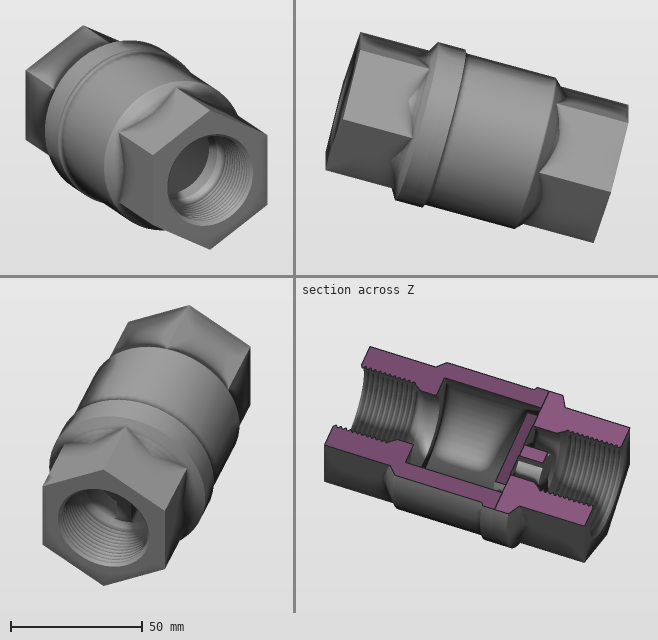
import cadquery as cq
import math

total_length = 106.2
joint_x = 35.0

hex_across_flats = 49.1
hex_corner_diameter = hex_across_flats / math.cos(math.radians(30))
inlet_neck_radius = hex_across_flats / 2
outlet_neck_radius = 24.1
neck_fillet = 5.0

collar_diameter = 62.5
collar_radius = collar_diameter / 2
collar_start_x = 29.2
collar_end_x = 39.9
cap_cone_angle = math.radians(60)

barrel_radius = 30.0
barrel_end_x = 76.0
barrel_fillet = 1.0
body_cone_angle = math.radians(45)

thread_major_radius = 18.4
thread_depth = 0.99
thread_pitch = 2 * thread_depth
thread_turns = 12
thread_minor_radius = thread_major_radius - thread_depth
thread_length = thread_pitch * thread_turns - thread_depth

seat_radius = 15.9
seat_cone_angle = math.radians(30)
seat_x = thread_length + (thread_minor_radius - seat_radius) / math.tan(seat_cone_angle)
bridge_width = 5.6
hub_radius = 7.5
window_fillet = 1.5

stem_radius = 3.0
disc_radius = 20.2
disc_thickness = 4.2

chamber_radius = 23.4
chamber_end_x = 74.3


def revolve_profile(profile):
    """Revolve a closed XY sketch, with Y as the radius, around the X axis."""
    return profile.close().revolve(360, (0, 0, 0), (1, 0, 0))


def cylinder(radius, start_x, end_x):
    """Solid cylinder on the valve axis."""
    return cq.Workplane("YZ", origin=(start_x, 0, 0)).circle(radius).extrude(end_x - start_x)


def hex_prism(start_x, end_x):
    """Hexagonal bar on the valve axis with two corners on the Z axis."""
    bar = cq.Workplane("YZ", origin=(start_x, 0, 0)).transformed(rotate=(0, 0, 90))
    return bar.polygon(6, hex_corner_diameter).extrude(end_x - start_x)


def neck_arc(neck_radius, cone_x, cone_radius, cone_angle, toward_x):
    """Start, middle and end of the concave fillet from the neck to a cone.

    The cone passes through (cone_x, cone_radius) and narrows in the toward_x direction.
    """
    center_radius = neck_radius + neck_fillet
    tangent_radius = center_radius - neck_fillet * math.cos(cone_angle)
    tangent_x = cone_x + toward_x * (cone_radius - tangent_radius) / math.tan(cone_angle)
    center_x = tangent_x + toward_x * neck_fillet * math.sin(cone_angle)

    def arc_point(angle):
        return (
            center_x - toward_x * neck_fillet * math.sin(angle),
            center_radius - neck_fillet * math.cos(angle),
        )

    return arc_point(0), arc_point(cone_angle / 2), arc_point(cone_angle)


def threaded_port():
    """Cutter for the inlet port, opening at X = 0: thread rings, then the seat cone."""
    profile = cq.Workplane("XY").moveTo(0, 0).lineTo(0, thread_major_radius)
    for turn in range(thread_turns):
        crest_x = turn * thread_pitch + thread_depth
        if turn > 0:
            profile = profile.lineTo(crest_x - thread_depth, thread_major_radius)
        profile = profile.lineTo(crest_x, thread_minor_radius)
    profile = profile.lineTo(seat_x, seat_radius).lineTo(seat_x, 0)
    return revolve_profile(profile)


def flow_window(side):
    """Cutter for one flow window, on the +Y (side = 1) or -Y (side = -1) half of the seat."""
    depth = joint_x - seat_x
    opening = cylinder(seat_radius, seat_x, joint_x)
    half = cq.Workplane("XY").box(depth, seat_radius, 2 * seat_radius, centered=(False, False, True))
    half = half.translate((seat_x, bridge_width / 2, 0))
    window = opening.intersect(half).edges("|X").fillet(window_fillet)
    window = window.cut(cylinder(hub_radius, seat_x, joint_x))
    return window if side > 0 else window.mirror("XZ")


def make_cap():
    """Inlet cap: hexagon, neck, front part of the collar, port and guide bridge."""
    neck_start, neck_middle, neck_end = neck_arc(
        inlet_neck_radius, collar_start_x, collar_radius, cap_cone_angle, -1
    )
    profile = (
        cq.Workplane("XY")
        .lineTo(0, inlet_neck_radius)
        .lineTo(*neck_start)
        .threePointArc(neck_middle, neck_end)
        .lineTo(collar_start_x, collar_radius)
        .lineTo(joint_x, collar_radius)
        .lineTo(joint_x, 0)
    )
    cap = revolve_profile(profile).union(hex_prism(0, collar_start_x))
    cap = cap.cut(threaded_port())
    for side in (1, -1):
        cap = cap.cut(flow_window(side))
    return cap.cut(cylinder(stem_radius, seat_x, joint_x))


def make_body():
    """Valve body: rear part of the collar, barrel, outlet hexagon, chamber and port."""
    neck_start, neck_middle, neck_end = neck_arc(
        outlet_neck_radius, barrel_end_x, barrel_radius, body_cone_angle, 1
    )
    collar_fillet = collar_radius - barrel_radius
    fillet_setback = barrel_fillet * math.tan(body_cone_angle / 2)
    profile = (
        cq.Workplane("XY")
        .moveTo(joint_x, 0)
        .lineTo(joint_x, collar_radius)
        .lineTo(collar_end_x, collar_radius)
        .radiusArc((collar_end_x + collar_fillet, barrel_radius), -collar_fillet)
        .lineTo(barrel_end_x - fillet_setback, barrel_radius)
        .radiusArc(
            (
                barrel_end_x + fillet_setback * math.cos(body_cone_angle),
                barrel_radius - fillet_setback * math.sin(body_cone_angle),
            ),
            barrel_fillet,
        )
        .lineTo(*neck_end)
        .threePointArc(neck_middle, neck_start)
        .lineTo(total_length, outlet_neck_radius)
        .lineTo(total_length, 0)
    )
    body = revolve_profile(profile).union(hex_prism(barrel_end_x, total_length))
    outlet_port = threaded_port().mirror("YZ").translate((total_length, 0, 0))
    body = body.cut(outlet_port)
    body = body.cut(cylinder(seat_radius, chamber_end_x, total_length - seat_x))
    return body.cut(cylinder(chamber_radius, joint_x, chamber_end_x))


def make_poppet():
    """Poppet: disc closing the flow windows, with a stem guided by the hub."""
    disc = cylinder(disc_radius, joint_x, joint_x + disc_thickness)
    return disc.union(cylinder(stem_radius, seat_x, joint_x))


cap = make_cap().solids()
body = make_body().solids()
poppet = make_poppet().solids()

result = cq.Compound.makeCompound([cap.val(), body.val(), poppet.val()])